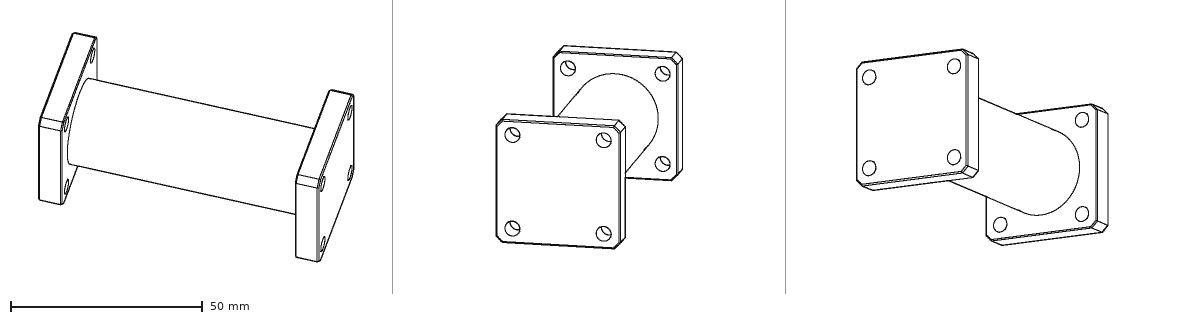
import cadquery as cq

length = 76.2
flange_side = 33.3
flange_thickness = 6.4
tube_diameter = 23.0

corner_chamfer = 1.7
outer_face_chamfer = 0.4
inner_face_chamfer = 0.3

hole_diameter = 4.0
narrow_spacing = 24.4
wide_spacing = 25.3


def make_flange(spacing_y, spacing_z):
    """Flange with its inner face on X = 0, extending toward +X."""
    plate = (
        cq.Workplane("YZ")
        .rect(flange_side, flange_side)
        .extrude(flange_thickness)
        .edges("|X")
        .chamfer(corner_chamfer)
    )
    plate = plate.faces(">X").chamfer(outer_face_chamfer)
    plate = plate.faces("<X").chamfer(inner_face_chamfer)
    holes = (
        cq.Workplane("YZ")
        .rect(spacing_y, spacing_z, forConstruction=True)
        .vertices()
        .circle(hole_diameter / 2)
        .extrude(flange_thickness)
    )
    return plate.cut(holes)


tube_length = length - 2 * flange_thickness
tube = (
    cq.Workplane("YZ", origin=(-tube_length / 2, 0, 0))
    .circle(tube_diameter / 2)
    .extrude(tube_length)
)

left_flange = (
    make_flange(narrow_spacing, wide_spacing)
    .mirror("YZ")
    .translate((-tube_length / 2, 0, 0))
)
right_flange = make_flange(wide_spacing, narrow_spacing).translate((tube_length / 2, 0, 0))

result = tube.union(left_flange).union(right_flange)